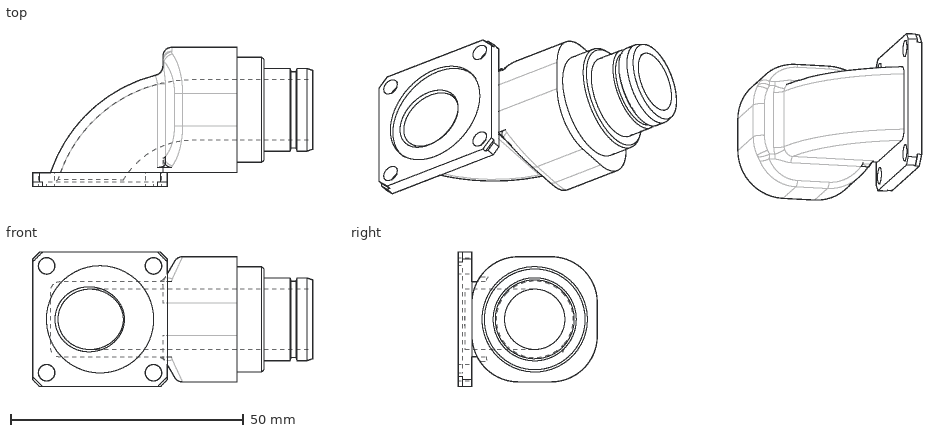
import cadquery as cq
import math

flange_side = 29.0
flange_thickness = 3.0
flange_corner = 1.5
front_corner = 2.15
front_corner_depth = 1.0
screw_hole_diameter = 3.5
screw_hole_offset = 11.5
recess_diameter = 23.1
recess_depth = 1.0

housing_side = 27.0
housing_corner_radius = 10.0
housing_start = 13.5
housing_length = 16.0
housing_axis_y = flange_thickness + housing_side / 2
shoulder_angle = 30.0
blend_radius = 2.0

neck_half_width = 8.1
bend_radius = 23.8
neck_outer_radius = 32.3
bend_centre_x = 19.95
bend_centre_y = housing_axis_y - bend_radius

collar_diameter = 22.7
collar_length = 5.8
collar_chamfer = 0.5
tube_diameter = 17.9
tube_length = 10.5
tube_end_taper_length = 1.3
tube_end_taper_height = 0.45
ring_groove_start = 5.6
ring_groove_width = 1.5
ring_groove_depth = 0.7
ring_groove_wall_lean = 0.2

bore_diameter = 13.0
mouth_chamfer = 0.5

housing_end = housing_start + housing_length
collar_end = housing_end + collar_length
tube_end = collar_end + tube_length
neck_top_y = bend_centre_y + math.sqrt(neck_outer_radius**2 - (housing_start - bend_centre_x) ** 2)
tolerance = 0.05


def flange_block(y_start, y_end, corner):
    """Square block between two Y levels with chamfered corners."""
    block = cq.Workplane("XY").box(flange_side, y_end - y_start, flange_side)
    block = block.translate((0, (y_start + y_end) / 2, 0))
    return block.edges("|Y").chamfer(corner)


def y_cylinder(diameter, length, x=0.0, z=0.0):
    """Cylinder from the front face along +Y."""
    solid = cq.Solid.makeCylinder(diameter / 2, length, cq.Vector(x, 0, z), cq.Vector(0, 1, 0))
    return cq.Workplane(solid)


def make_flange():
    front = flange_block(0, front_corner_depth, front_corner)
    back = flange_block(front_corner_depth, flange_thickness, flange_corner)
    return front.union(back)


def make_housing():
    housing = (
        cq.Workplane("YZ", origin=(housing_start, housing_axis_y, 0))
        .rect(housing_side, housing_side)
        .extrude(housing_length)
        .edges("|X")
        .fillet(housing_corner_radius)
    )
    half = housing_side / 2
    shoulder_depth = (half - neck_half_width) * math.tan(math.radians(shoulder_angle))
    for side in (1, -1):
        wedge = (
            cq.Workplane("XZ", origin=(0, housing_axis_y + half, 0))
            .moveTo(housing_start, side * neck_half_width)
            .lineTo(housing_start + shoulder_depth, side * half)
            .lineTo(housing_start, side * half)
            .close()
            .extrude(housing_side)
        )
        housing = housing.cut(wedge)
    return housing


def lies_at_x(edge, x):
    """True for an edge that stays in the plane at the given X."""
    box = edge.BoundingBox()
    return max(abs(box.xmin - x), abs(box.xmax - x)) < tolerance


def is_crease(edge):
    """True where the front face of the housing meets a shoulder, above the neck."""
    box = edge.BoundingBox()
    upright = box.ylen > tolerance and box.zlen < tolerance
    return upright and lies_at_x(edge, housing_start) and box.ymax > neck_top_y


def is_neck_root(edge):
    """True where the neck meets the front of the housing, clear of the flange."""
    box = edge.BoundingBox()
    in_reach = flange_thickness + tolerance < box.ymin and box.ymax < neck_top_y + tolerance
    return in_reach and lies_at_x(edge, housing_start)


def make_rim_trim(housing):
    """Material to remove so that the front rim of the housing is rounded.

    The rim stays sharp behind the foot of the neck.
    """
    creased = housing.newObject(housing.edges().filter(is_crease).vals()).fillet(blend_radius)
    rounded = creased.faces("<X").edges(">Y").fillet(blend_radius)
    neck_foot = cq.Workplane("XY").box(housing_side * 2, housing_axis_y, 2 * neck_half_width)
    return creased.cut(rounded).cut(neck_foot.translate((housing_start, housing_axis_y / 2, 0)))


def join_neck(housing, neck):
    """Join housing and neck, with blends along the neck root and the creases."""
    joined = housing.union(neck)
    blended = joined.edges().filter(lambda edge: is_crease(edge) or is_neck_root(edge))
    return joined.newObject(blended.vals()).fillet(blend_radius).cut(make_rim_trim(housing))


def arc_point(radius, angle):
    return (bend_centre_x + radius * math.cos(angle), bend_centre_y + radius * math.sin(angle))


def make_neck():
    start_angle = math.pi - math.asin((flange_thickness - bend_centre_y) / neck_outer_radius)
    end_angle = math.acos((housing_start - bend_centre_x) / neck_outer_radius)
    neck = (
        cq.Workplane("XY", origin=(0, 0, -neck_half_width))
        .moveTo(*arc_point(neck_outer_radius, start_angle))
        .threePointArc(
            arc_point(neck_outer_radius, (start_angle + end_angle) / 2),
            arc_point(neck_outer_radius, end_angle),
        )
        .lineTo(housing_start, flange_thickness)
        .close()
        .extrude(2 * neck_half_width)
    )
    return neck.edges("%CIRCLE").fillet(blend_radius)


def make_spigot():
    collar_r = collar_diameter / 2
    tube_r = tube_diameter / 2
    groove_r = tube_r - ring_groove_depth
    groove_start = collar_end + ring_groove_start
    groove_end = groove_start + ring_groove_width
    profile = [
        (housing_end, 0),
        (housing_end, collar_r),
        (collar_end - collar_chamfer, collar_r),
        (collar_end, collar_r - collar_chamfer),
        (collar_end, tube_r),
        (groove_start, tube_r),
        (groove_start + ring_groove_wall_lean, groove_r),
        (groove_end - ring_groove_wall_lean, groove_r),
        (groove_end, tube_r),
        (tube_end - tube_end_taper_length, tube_r),
        (tube_end, tube_r - tube_end_taper_height),
        (tube_end, 0),
    ]
    spigot = cq.Workplane("XY").polyline(profile).close().revolve(360, (0, 0, 0), (1, 0, 0))
    return spigot.translate((0, housing_axis_y, 0))


def make_bore():
    """Bore that bends up from the flange and runs straight out of the spigot."""
    bend = (
        cq.Workplane("YZ", origin=(bend_centre_x, housing_axis_y, 0))
        .circle(bore_diameter / 2)
        .revolve(90, (-bend_radius, -1, 0), (-bend_radius, 1, 0))
    )
    straight = (
        cq.Workplane("YZ", origin=(bend_centre_x, housing_axis_y, 0))
        .circle(bore_diameter / 2)
        .extrude(tube_end - bend_centre_x)
    )
    return bend.union(straight)


def is_bore_mouth(edge):
    """True where the bore meets the floor of the recess."""
    box = edge.BoundingBox()
    on_floor = max(abs(box.ymin - recess_depth), abs(box.ymax - recess_depth)) < tolerance
    inside_recess = max(-box.xmin, box.xmax, -box.zmin, box.zmax) < recess_diameter / 2 - tolerance
    return on_floor and inside_recess


def chamfer_bore_mouth(part):
    """Chamfer the edge where the bore opens into the flange recess."""
    mouth = part.edges().filter(is_bore_mouth)
    return part.newObject(mouth.vals()).chamfer(mouth_chamfer)


body = join_neck(make_housing(), make_neck())
result = make_flange().union(body).union(make_spigot())
result = result.cut(y_cylinder(recess_diameter, recess_depth))
result = result.cut(make_bore())
result = chamfer_bore_mouth(result)
for x in (-screw_hole_offset, screw_hole_offset):
    for z in (-screw_hole_offset, screw_hole_offset):
        result = result.cut(y_cylinder(screw_hole_diameter, flange_thickness, x, z))